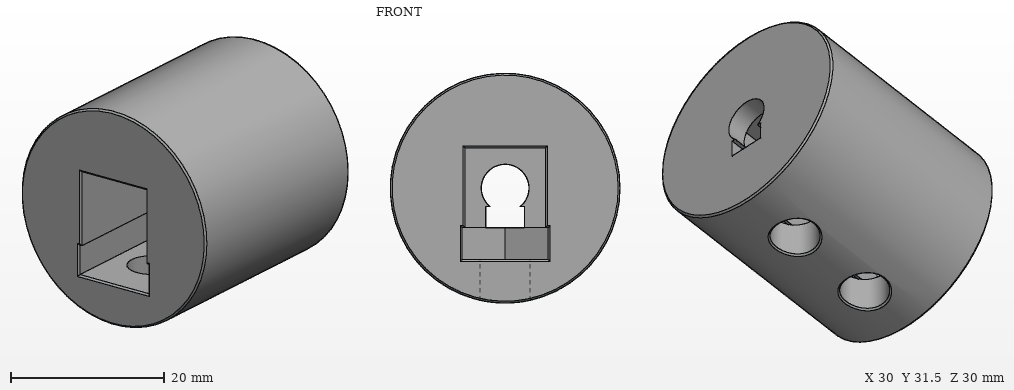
import cadquery as cq
import math

body_diameter = 30.0
body_length = 31.5
edge_chamfer = 0.25
chamfer_angle = 45.0
front_y = -body_length / 2
back_y = body_length / 2

back_wall = 3.0
socket_width = 10.5
socket_top = socket_width / 2
slot_width = 11.2
slot_top = -5.15
slot_bottom = -9.3
hexagon_half_angle = math.radians(30)

keyhole_diameter = 6.2
key_width = 5.0
key_top = -2.4

screw_diameter = 6.53
screw_spacing = 13.55

floor_y = back_y - back_wall
slot_corner_radius = slot_width / 2 / math.cos(hexagon_half_angle)
rear_screw_y = floor_y - slot_corner_radius
slot_shoulder_y = rear_screw_y + slot_corner_radius * math.sin(hexagon_half_angle)
screw_positions = [rear_screw_y, rear_screw_y - screw_spacing]


def box_between(width, y_start, y_end, z_bottom, z_top):
    """Box centred on X = 0 between the given Y and Z limits."""
    return cq.Workplane("XY").box(width, y_end - y_start, z_top - z_bottom).translate(
        (0, (y_start + y_end) / 2, (z_bottom + z_top) / 2)
    )


def mouth_chamfer(width, z_bottom, z_top):
    """Flare that bevels the edges of a rectangular opening in the front face."""
    return (
        cq.Workplane("XZ", origin=(0, front_y, (z_bottom + z_top) / 2))
        .rect(width + 2 * edge_chamfer, z_top - z_bottom + 2 * edge_chamfer)
        .extrude(-edge_chamfer, taper=chamfer_angle)
    )


def body():
    cylinder = cq.Workplane("XZ", origin=(0, front_y, 0)).circle(body_diameter / 2).extrude(-body_length)
    return cylinder.edges().chamfer(edge_chamfer)


def socket():
    cavity = box_between(socket_width, front_y, floor_y, slot_top, socket_top)
    return cavity.union(mouth_chamfer(socket_width, slot_top, socket_top))


def nut_slot():
    half_width = slot_width / 2
    cavity = (
        cq.Workplane("XY", origin=(0, 0, slot_bottom))
        .moveTo(-half_width, front_y)
        .lineTo(half_width, front_y)
        .lineTo(half_width, slot_shoulder_y)
        .lineTo(0, floor_y)
        .lineTo(-half_width, slot_shoulder_y)
        .close()
        .extrude(slot_top - slot_bottom)
    )
    return cavity.union(mouth_chamfer(slot_width, slot_bottom, slot_top))


def keyhole():
    round_hole = cq.Workplane("XZ", origin=(0, floor_y, 0)).circle(keyhole_diameter / 2).extrude(-back_wall)
    return round_hole.union(box_between(key_width, floor_y, back_y, slot_top, key_top))


def screw_hole(y):
    drill_length = body_diameter / 2 + slot_bottom
    return cq.Workplane("XY", origin=(0, y, slot_bottom)).circle(screw_diameter / 2).extrude(-drill_length)


def drilled_body():
    """Body with the screw holes, their edges on the underside bevelled."""
    drilled = body()
    for screw_y in screw_positions:
        drilled = drilled.cut(screw_hole(screw_y))
    underside = cq.selectors.BoxSelector(
        (-screw_diameter, front_y, -body_diameter / 2),
        (screw_diameter, back_y, slot_bottom - edge_chamfer),
    )
    hole_edges = drilled.faces("%CYLINDER").edges("not %LINE").edges(underside)
    return hole_edges.chamfer(edge_chamfer)


result = drilled_body().cut(socket()).cut(nut_slot()).cut(keyhole())